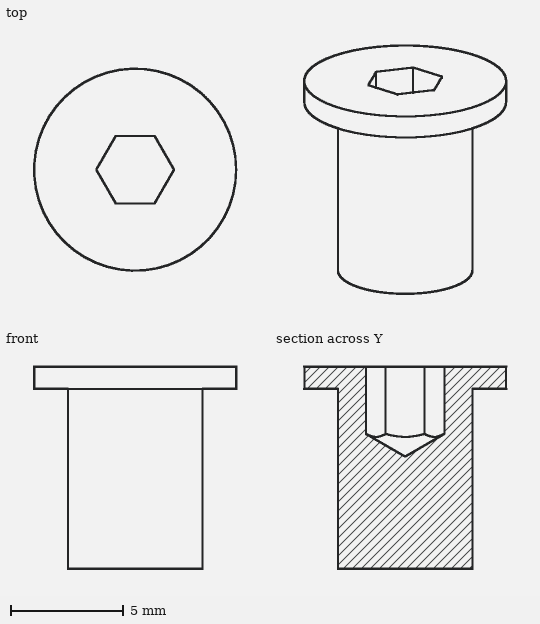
import cadquery as cq
import math

head_diameter = 9.0
total_height = 9.0
head_thickness = 1.0
shank_diameter = 6.0
socket_across_flats = 3.0
socket_depth = 3.0
socket_tip_angle = 120.0

shank_length = total_height - head_thickness
socket_corner_diameter = socket_across_flats / math.cos(math.radians(30))
socket_corner_radius = socket_corner_diameter / 2
tip_depth = socket_corner_radius / math.tan(math.radians(socket_tip_angle / 2))


def make_body():
    """Round shank standing on Z = 0 with a flat disc head on top."""
    shank = cq.Workplane("XY").circle(shank_diameter / 2).extrude(shank_length)
    head = (
        cq.Workplane("XY")
        .workplane(offset=shank_length)
        .circle(head_diameter / 2)
        .extrude(head_thickness)
    )
    return shank.union(head)


def make_socket():
    """Hexagonal socket, corners on the X axis, ending in a conical floor."""
    drilled_hole = (
        cq.Workplane("XZ")
        .moveTo(0, total_height)
        .lineTo(socket_corner_radius, total_height)
        .lineTo(socket_corner_radius, total_height - socket_depth)
        .lineTo(0, total_height - socket_depth - tip_depth)
        .close()
        .revolve(360, (0, 0), (0, 1))
    )
    hexagon = (
        cq.Workplane("XY")
        .workplane(offset=total_height)
        .polygon(6, socket_corner_diameter)
        .extrude(-(socket_depth + tip_depth))
    )
    return hexagon.intersect(drilled_hole)


result = make_body().cut(make_socket())